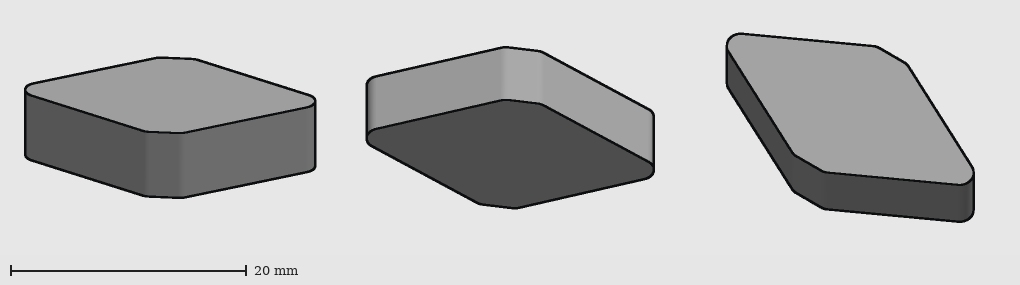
import cadquery as cq
import math

ACUTE_ANGLE = 55.0
INSCRIBED_CIRCLE = 12.7
THICKNESS = 6.35
CORNER_RADIUS = 1.2
OBTUSE_CUT = 1.75

side = INSCRIBED_CIRCLE / math.sin(math.radians(ACUTE_ANGLE))
lean = side * math.cos(math.radians(ACUTE_ANGLE))
half_length = (side + lean) / 2
half_width = INSCRIBED_CIRCLE / 2
obtuse_x = half_length - lean

nose = (half_length, half_width)
opposite_nose = (-half_length, -half_width)
lower_obtuse = (obtuse_x, -half_width)
upper_obtuse = (-obtuse_x, half_width)


def point_along(start, end, distance):
    """Return the point at a distance from start towards end."""
    fraction = distance / math.dist(start, end)
    return (
        start[0] + fraction * (end[0] - start[0]),
        start[1] + fraction * (end[1] - start[1]),
    )


def make_blank():
    """Extrude the rhombus with its obtuse corners cut by flats."""
    outline = [
        opposite_nose,
        point_along(lower_obtuse, opposite_nose, OBTUSE_CUT),
        point_along(lower_obtuse, nose, OBTUSE_CUT),
        nose,
        point_along(upper_obtuse, nose, OBTUSE_CUT),
        point_along(upper_obtuse, opposite_nose, OBTUSE_CUT),
    ]
    return cq.Workplane("XY").polyline(outline).close().extrude(THICKNESS)


def round_corners(blank):
    """Round the nose corners and both ends of each flat."""
    return blank.edges("|Z").fillet(CORNER_RADIUS)


result = round_corners(make_blank())